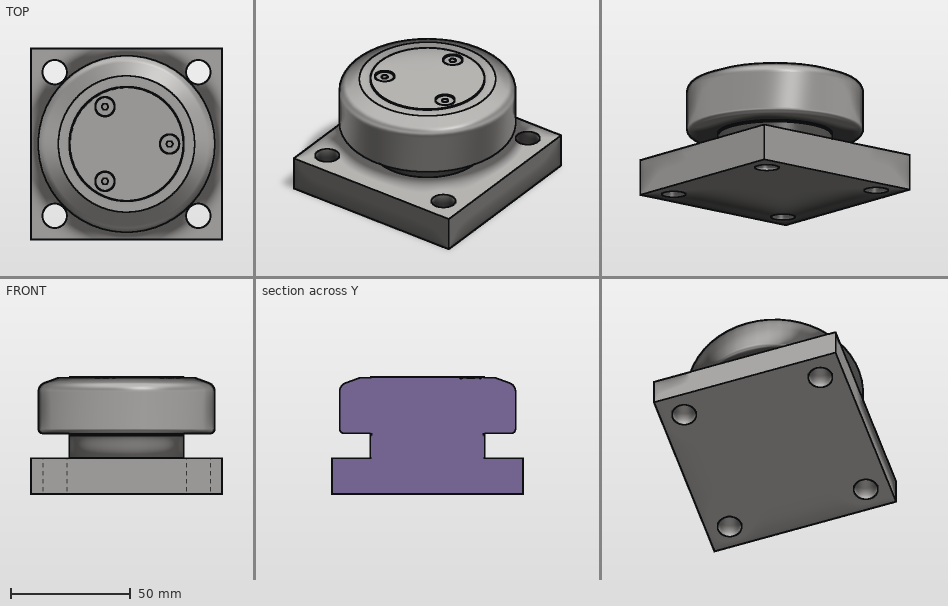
import cadquery as cq
import math

plate_side = 80.0
plate_thickness = 15.0
plate_hole_diameter = 10.11
plate_hole_spacing = 60.0

pin_diameter = 48.0
pin_edge_chamfer = 0.3
neck_top = 24.9
neck_top_chamfer = 0.5
hub_bottom = 25.05
hub_top = 49.0

roller_diameter = 73.8
roller_bottom = 25.3
roller_top = 48.65
roller_flat_diameter = 57.0
crown_angle = 20.0
crown_fillet = 4.0
lower_fillet = 2.0

screw_count = 3
screw_circle_radius = 18.0
seat_diameter = 8.3
seat_depth = 0.6
screw_head_diameter = 7.8
screw_head_recess = 0.3
socket_across_flats = 2.5
socket_depth = 0.25


def make_plate():
    """Square plate standing on Z = 0, with a through hole near each corner."""
    plate = cq.Workplane("XY").box(plate_side, plate_side, plate_thickness, centered=(True, True, False))
    holes = (
        cq.Workplane("XY")
        .rect(plate_hole_spacing, plate_hole_spacing, forConstruction=True)
        .vertices()
        .circle(plate_hole_diameter / 2)
        .extrude(plate_thickness)
    )
    return plate.cut(holes)


def make_disc(diameter, bottom, top):
    """Upright cylinder on the part axis between two heights."""
    return cq.Workplane("XY").workplane(offset=bottom).circle(diameter / 2).extrude(top - bottom)


def make_pin():
    """Neck and hub with chamfered edges, joined by a core just below their diameter."""
    neck = make_disc(pin_diameter, plate_thickness, neck_top)
    neck = neck.faces("<Z").chamfer(pin_edge_chamfer).faces(">Z").chamfer(neck_top_chamfer)
    hub = make_disc(pin_diameter, hub_bottom, hub_top).faces(">Z").chamfer(pin_edge_chamfer)
    core = make_disc(pin_diameter - 2 * neck_top_chamfer, neck_top, hub_bottom)
    return neck.union(core).union(hub)


def make_roller():
    """Roller with a conical crown blended into its side and a rounded lower edge."""
    roller_radius = roller_diameter / 2
    flat_radius = roller_flat_diameter / 2
    slope = math.radians(crown_angle)
    arc_center_r = roller_radius - crown_fillet
    cone_end_r = arc_center_r + crown_fillet * math.sin(slope)
    cone_end_z = roller_top - (cone_end_r - flat_radius) * math.tan(slope)
    arc_center_z = cone_end_z - crown_fillet * math.cos(slope)
    profile = (
        cq.Workplane("XZ")
        .moveTo(0, roller_bottom)
        .lineTo(roller_radius - lower_fillet, roller_bottom)
        .radiusArc((roller_radius, roller_bottom + lower_fillet), -lower_fillet)
        .lineTo(roller_radius, arc_center_z)
        .radiusArc((cone_end_r, cone_end_z), -crown_fillet)
        .lineTo(flat_radius, roller_top)
        .lineTo(0, roller_top)
        .close()
    )
    return profile.revolve(360, (0, 0, 0), (0, 1, 0))


def make_screw_seat(angle):
    """Cutter that leaves one screw head with a hexagon socket, sunk in a slightly wider seat."""
    head_top = hub_top - screw_head_recess
    socket_corner_diameter = socket_across_flats / math.cos(math.radians(30))
    seat = make_disc(seat_diameter, hub_top - seat_depth, hub_top)
    head = make_disc(screw_head_diameter, hub_top - seat_depth, head_top)
    socket = (
        cq.Workplane("XY")
        .workplane(offset=head_top - socket_depth)
        .polygon(6, socket_corner_diameter)
        .extrude(socket_depth)
    )
    x = screw_circle_radius * math.cos(math.radians(angle))
    y = screw_circle_radius * math.sin(math.radians(angle))
    return seat.cut(head).union(socket).translate((x, y, 0))


result = make_plate().union(make_pin()).union(make_roller())
for index in range(screw_count):
    result = result.cut(make_screw_seat(index * 360 / screw_count))